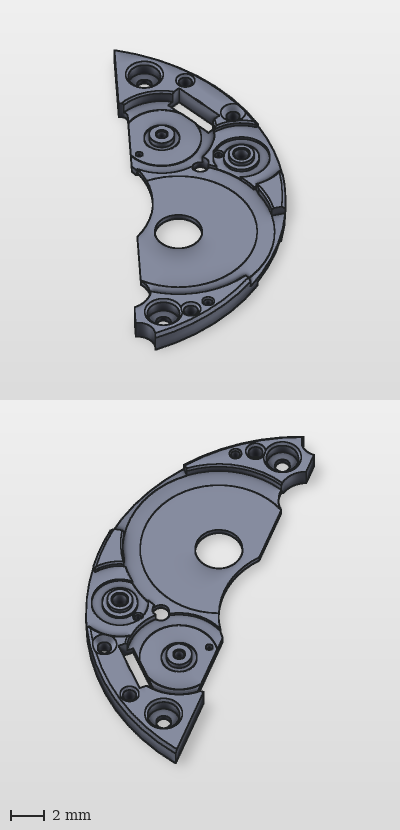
import cadquery as cq
import math

THICKNESS = 1.19
RIM_RADIUS = 12.7
RIM_CHAMFER = 0.2
BORE_RADIUS = 4.86
CHORD_TILT = 43.0
CHORD_OFFSET = 3.27
STEP_DEPTH = 0.53
STEP_START = -7.62
STEP_CORNER_RADIUS = 0.39
SIDE_NOTCH = (7.62, -3.46)
SIDE_NOTCH_RADIUS = 1.65
END_NOTCH = (10.91, -5.58)
END_NOTCH_RADIUS = 1.01

EDGE_CHAMFER = 0.12
WHEEL_A = (0.0, 7.78)
WHEEL_A_RADIUS = 3.11
WHEEL_A_FLOOR = 0.43
WHEEL_A_PAD_RADIUS = 2.33
WHEEL_A_PAD_TOP = 0.49
WHEEL_A_GROOVE_FLOOR = 0.4
WHEEL_A_BOSS_TOP = 0.78
WHEEL_A_HOLE = 0.6
WHEEL_B = (6.26, 2.68)
WHEEL_B_RADIUS = 5.68
WHEEL_B_FLOOR = 0.62
WHEEL_B_PAD_RADIUS = 4.65
WHEEL_B_PAD_TOP = 0.65
WHEEL_B_HOLE = 2.8
WHEEL_C = (4.77, 9.6)
WHEEL_C_RADIUS = 2.63
WHEEL_C_FLOOR = 0.85
WHEEL_C_POCKET_RADIUS = 1.67
WHEEL_C_POCKET_FLOOR = 0.68
WHEEL_C_BOSS_TOP = 1.13
WHEEL_C_COLLAR_TOP = 0.85
WHEEL_C_HOLE = 0.9

BOSS_DIAMETER = 1.5
COLLAR_DIAMETER = 2.1
PIVOT_CHAMFER = 0.05

CUSP_PLACE = (0.95, 4.77)
CUSP_CLEARANCE = 0.15
BLUNT_CORNER = [(7.1, 8.42), (7.5, 8.23), (6.9, 8.17)]
RIM_GAP_X = (3.68, 7.97)
RIM_GAP_Y = (10.13, RIM_RADIUS)

LEDGE_TOP = 0.58
LEDGE_START_ANGLE = -2.9
LEDGE_END_ANGLE = 58.0

UNDER_RADIUS = 5.82
UNDER_DEPTH = 0.3
UNDER_CHAMFER = 0.08
MOUTH_START_ANGLE = 14.4
MOUTH_END_ANGLE = 32.2
MOUTH_INNER_RADIUS = 10.55

WINDOW_CENTER = (0.0, 10.5)
WINDOW_LENGTH = 3.3
WINDOW_WIDTH = 0.93

SCREW_PLACES = [(-3.9, 10.37), (10.65, -3.17)]
SCREW_HOLE = 0.9
SCREW_HEAD = 1.9
SCREW_HEAD_FLOOR = 0.33
SCREW_CHAMFER = 0.15

COUNTERSUNK_HOLES = [
    ((-1.83, 11.69), 0.8, 1.1, THICKNESS),
    ((2.06, 11.7), 0.8, 1.45, THICKNESS),
    ((11.65, -1.87), 0.85, 1.17, THICKNESS),
    ((11.95, -0.7), 0.53, 0.72, THICKNESS),
    ((3.5, 8.97), 0.4, 0.6, WHEEL_C_POCKET_FLOOR),
]
PLAIN_HOLES = [((3.36, 7.57), 1.0), ((0.0, 5.85), 0.4)]


def cylinder(center, radius, bottom, top):
    return cq.Workplane("XY", origin=(*center, bottom)).circle(radius).extrude(top - bottom)


def cone(center, bottom_radius, top_radius, bottom, top):
    solid = cq.Solid.makeCone(bottom_radius, top_radius, top - bottom, cq.Vector(*center, bottom))
    return cq.Workplane(obj=solid)


def through(center, diameter):
    return cylinder(center, diameter / 2, 0, THICKNESS)


def countersunk(center, diameter, mouth_diameter, top):
    """Through hole with a 90 degree countersink, cleared upwards from its mouth."""
    depth = (mouth_diameter - diameter) / 2
    hole = through(center, diameter).union(cone(center, diameter / 2, mouth_diameter / 2, top - depth, top))
    if top < THICKNESS:
        hole = hole.union(cylinder(center, mouth_diameter / 2, top, THICKNESS))
    return hole


def wedge(apex, start_angle, end_angle, bottom, top):
    """Sector that reaches from the apex past the rim."""
    reach = 2 * RIM_RADIUS
    corners = [apex]
    for angle in (start_angle, end_angle):
        turn = math.radians(angle)
        corners.append((apex[0] + reach * math.cos(turn), apex[1] + reach * math.sin(turn)))
    return cq.Workplane("XY", origin=(0, 0, bottom)).polyline(corners).close().extrude(top - bottom)


def recess(center, radius, floor):
    """Round recess with a chamfered edge at the top face."""
    wall = cylinder(center, radius, floor, THICKNESS)
    edge = cone(center, radius, radius + EDGE_CHAMFER, THICKNESS - EDGE_CHAMFER, THICKNESS)
    return wall.union(edge)


def beside_chord(start, end, near, far):
    """Block given by its range along the straight edge and its distances from the origin."""
    block = cq.Workplane("XY").box(end - start, far - near, THICKNESS, centered=False)
    return block.translate((start, near, 0))


def turn_to_chord(block):
    return block.rotate((0, 0, 0), (0, 0, 1), -CHORD_TILT)


def crescent():
    disc = cylinder((0, 0), RIM_RADIUS, 0, THICKNESS).faces(">Z").edges().chamfer(RIM_CHAMFER)
    kept_side = beside_chord(-RIM_RADIUS, RIM_RADIUS, CHORD_OFFSET, RIM_RADIUS)
    tilt = math.radians(CHORD_TILT)
    step_end = SIDE_NOTCH[0] * math.cos(tilt) - SIDE_NOTCH[1] * math.sin(tilt)
    step = beside_chord(STEP_START, step_end, 0, CHORD_OFFSET + STEP_DEPTH)
    step = step.edges("|Z and <X and >Y").fillet(STEP_CORNER_RADIUS)
    plate = disc.intersect(turn_to_chord(kept_side)).cut(turn_to_chord(step))
    plate = plate.cut(cylinder((0, 0), BORE_RADIUS, 0, THICKNESS))
    plate = plate.cut(cylinder(SIDE_NOTCH, SIDE_NOTCH_RADIUS, 0, THICKNESS))
    return plate.cut(cylinder(END_NOTCH, END_NOTCH_RADIUS, 0, THICKNESS))


result = crescent()

result = result.cut(recess(WHEEL_C, WHEEL_C_RADIUS, WHEEL_C_FLOOR))
result = result.cut(cylinder(WHEEL_C, WHEEL_C_POCKET_RADIUS, WHEEL_C_POCKET_FLOOR, THICKNESS))
wheel_b_space = recess(WHEEL_B, WHEEL_B_RADIUS, WHEEL_B_FLOOR)
wheel_b_pad = cylinder(WHEEL_B, WHEEL_B_PAD_RADIUS, WHEEL_B_FLOOR, WHEEL_B_PAD_TOP)
result = result.cut(wheel_b_space.cut(wheel_b_pad))
wheel_a_space = recess(WHEEL_A, WHEEL_A_RADIUS, WHEEL_A_FLOOR)
wheel_a_pad = cylinder(WHEEL_A, WHEEL_A_PAD_RADIUS, WHEEL_A_FLOOR, WHEEL_A_PAD_TOP)
result = result.cut(wheel_a_space.cut(wheel_a_pad))

result = result.cut(cylinder(CUSP_PLACE, CUSP_CLEARANCE, WHEEL_B_FLOOR, THICKNESS))
corner_sketch = cq.Workplane("XY", origin=(0, 0, WHEEL_B_FLOOR)).polyline(BLUNT_CORNER).close()
result = result.cut(corner_sketch.extrude(THICKNESS - WHEEL_B_FLOOR))
gap_block = cq.Workplane("XY").box(
    RIM_GAP_X[1] - RIM_GAP_X[0], RIM_GAP_Y[1] - RIM_GAP_Y[0], THICKNESS - WHEEL_C_FLOOR, centered=False
)
result = result.cut(gap_block.translate((RIM_GAP_X[0], RIM_GAP_Y[0], WHEEL_C_FLOOR)))

ledge = wedge(WHEEL_B, LEDGE_START_ANGLE, LEDGE_END_ANGLE, LEDGE_TOP, THICKNESS)
result = result.cut(ledge.cut(cylinder(WHEEL_B, WHEEL_B_RADIUS, 0, THICKNESS)))

result = result.cut(cylinder(WHEEL_B, UNDER_RADIUS, 0, UNDER_DEPTH))
result = result.cut(cone(WHEEL_B, UNDER_RADIUS + UNDER_CHAMFER, UNDER_RADIUS, 0, UNDER_CHAMFER))
mouth = wedge((0, 0), MOUTH_START_ANGLE, MOUTH_END_ANGLE, 0, UNDER_DEPTH)
result = result.cut(mouth.cut(cylinder((0, 0), MOUTH_INNER_RADIUS, 0, THICKNESS)))

collar_radius = COLLAR_DIAMETER / 2
boss_radius = BOSS_DIAMETER / 2
result = result.cut(cylinder(WHEEL_A, collar_radius, WHEEL_A_GROOVE_FLOOR, WHEEL_A_PAD_TOP))
result = result.union(cylinder(WHEEL_A, boss_radius, WHEEL_A_GROOVE_FLOOR, WHEEL_A_BOSS_TOP))
result = result.union(cylinder(WHEEL_C, collar_radius, WHEEL_C_POCKET_FLOOR, WHEEL_C_COLLAR_TOP))
result = result.union(cylinder(WHEEL_C, boss_radius, WHEEL_C_POCKET_FLOOR, WHEEL_C_BOSS_TOP))
result = result.cut(countersunk(WHEEL_A, WHEEL_A_HOLE, WHEEL_A_HOLE + 2 * PIVOT_CHAMFER, WHEEL_A_BOSS_TOP))
result = result.cut(countersunk(WHEEL_C, WHEEL_C_HOLE, WHEEL_C_HOLE + 2 * PIVOT_CHAMFER, WHEEL_C_BOSS_TOP))
result = result.cut(through(WHEEL_B, WHEEL_B_HOLE))

window = cq.Workplane("XY").center(*WINDOW_CENTER).rect(WINDOW_LENGTH, WINDOW_WIDTH).extrude(THICKNESS)
result = result.cut(window)

head_radius = SCREW_HEAD / 2
for place in SCREW_PLACES:
    result = result.cut(through(place, SCREW_HOLE))
    result = result.cut(cylinder(place, head_radius, SCREW_HEAD_FLOOR, THICKNESS))
    lead_in = cone(place, head_radius, head_radius + SCREW_CHAMFER, THICKNESS - SCREW_CHAMFER, THICKNESS)
    result = result.cut(lead_in)

for place, diameter in PLAIN_HOLES:
    result = result.cut(through(place, diameter))
for place, diameter, mouth_diameter, top in COUNTERSUNK_HOLES:
    result = result.cut(countersunk(place, diameter, mouth_diameter, top))